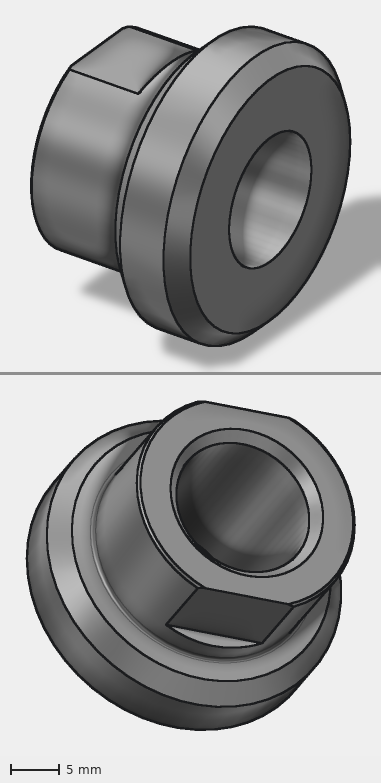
import cadquery as cq
import math

total_length = 22.0
flange_radius = 33.1 / 2
flange_start = 12.5
flange_chamfer = 2.0

neck_radius = 24.5 / 2
neck_length = 12.0
neck_face_chamfer = 0.3
neck_fillet_radius = 0.5

bore_radius = 14.95 / 2
bore_chamfer = 1.1

flat_height = 11.0
flat_length = 9.0
flat_end_tilt = math.radians(15)


def make_turned_body():
    """Revolve the outer profile of the neck and the flange about X."""
    rim_radius = flange_radius - flange_chamfer

    turn_angle = math.atan2(rim_radius - neck_radius, flange_start - neck_length)
    fillet_start = neck_length - neck_fillet_radius * math.tan(turn_angle / 2)
    fillet_center_radius = neck_radius + neck_fillet_radius

    def fillet_point(angle):
        return (
            fillet_start + neck_fillet_radius * math.sin(angle),
            fillet_center_radius - neck_fillet_radius * math.cos(angle),
        )

    profile = (
        cq.Workplane("XY")
        .moveTo(0, 0)
        .lineTo(0, neck_radius - neck_face_chamfer)
        .lineTo(neck_face_chamfer, neck_radius)
        .lineTo(fillet_start, neck_radius)
        .threePointArc(fillet_point(turn_angle / 2), fillet_point(turn_angle))
        .lineTo(flange_start, rim_radius)
        .lineTo(flange_start + flange_chamfer, flange_radius)
        .lineTo(total_length - flange_chamfer, flange_radius)
        .lineTo(total_length, rim_radius)
        .lineTo(total_length, 0)
        .close()
    )
    return profile.revolve(360, (0, 0, 0), (1, 0, 0))


def make_bore():
    """Through bore with a chamfered mouth on the neck face."""
    profile = (
        cq.Workplane("XY")
        .moveTo(0, 0)
        .lineTo(0, bore_radius + bore_chamfer)
        .lineTo(bore_chamfer, bore_radius)
        .lineTo(total_length, bore_radius)
        .lineTo(total_length, 0)
        .close()
    )
    return profile.revolve(360, (0, 0, 0), (1, 0, 0))


def make_flat_cutter():
    """Material removed above the upper wrench flat, with a sloped inner end."""
    slope_run = (neck_radius - flat_height) * math.tan(flat_end_tilt)
    return (
        cq.Workplane("XZ")
        .moveTo(0, flat_height)
        .lineTo(flat_length, flat_height)
        .lineTo(flat_length + slope_run, neck_radius)
        .lineTo(0, neck_radius)
        .close()
        .extrude(neck_radius, both=True)
    )


result = make_turned_body().cut(make_bore())

upper_flat = make_flat_cutter()
for cutter in (upper_flat, upper_flat.mirror("XY")):
    result = result.cut(cutter)